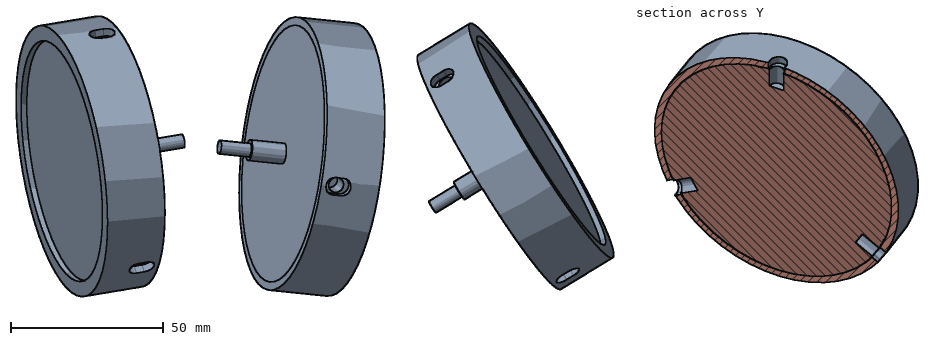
import cadquery as cq

housing_diameter = 90.0
housing_depth = 20.0
bore_diameter = 84.6
lip_diameter = 79.9
lip_depth = 2.0

slot_count = 3
slot_width = 5.85
slot_length = 8.55
slot_from_back = 5.9
screw_hole_diameter = 5.0
screw_hole_depth = 7.2

sleeve_diameter = 6.8
sleeve_length = 11.7
rod_diameter = 4.5
rod_length = 22.05

front_y = -housing_depth / 2
back_y = housing_depth / 2
lip_y = front_y + lip_depth
slot_y = back_y - slot_from_back
slot_angles = [index * 360.0 / slot_count for index in range(slot_count)]


def cylinder_along_y(diameter, start_y, end_y):
    """Cylinder on the common axis between two Y positions."""
    plane = cq.Plane(origin=(0, start_y, 0), xDir=(1, 0, 0), normal=(0, 1, 0))
    return cq.Workplane(plane).circle(diameter / 2).extrude(end_y - start_y)


def cut_around_axis(body, cutter):
    """Cut the body with copies of the cutter evenly spaced around the common axis."""
    for angle in slot_angles:
        body = body.cut(cutter.rotate((0, 0, 0), (0, 1, 0), angle))
    return body


def make_housing():
    """Ring with a retaining lip at the front and radial slots through its wall."""
    ring = cylinder_along_y(housing_diameter, front_y, back_y)
    ring = ring.cut(cylinder_along_y(lip_diameter, front_y, lip_y))
    ring = ring.cut(cylinder_along_y(bore_diameter, lip_y, back_y))
    slot = (
        cq.Workplane("XY", origin=(0, slot_y, 0))
        .slot2D(slot_length, slot_width, 90)
        .extrude(housing_diameter / 2)
    )
    return cut_around_axis(ring, slot)


def make_disc():
    """Disc filling the bore behind the lip, with blind radial screw holes under the slots."""
    disc = cylinder_along_y(bore_diameter, lip_y, back_y)
    hole_floor_z = bore_diameter / 2 - screw_hole_depth
    screw_hole = (
        cq.Workplane("XY", origin=(0, slot_y, hole_floor_z))
        .circle(screw_hole_diameter / 2)
        .extrude(screw_hole_depth)
    )
    return cut_around_axis(disc, screw_hole)


def make_rod():
    """Thin rod standing on the back of the disc."""
    return cylinder_along_y(rod_diameter, back_y, back_y + rod_length)


def make_sleeve():
    """Tube around the root of the rod."""
    sleeve_end_y = back_y + sleeve_length
    sleeve = cylinder_along_y(sleeve_diameter, back_y, sleeve_end_y)
    return sleeve.cut(cylinder_along_y(rod_diameter, back_y, sleeve_end_y))


housing = make_housing()
disc = make_disc()
rod = make_rod()
sleeve = make_sleeve()

result = cq.Compound.makeCompound([housing.val(), disc.val(), rod.val(), sleeve.val()])